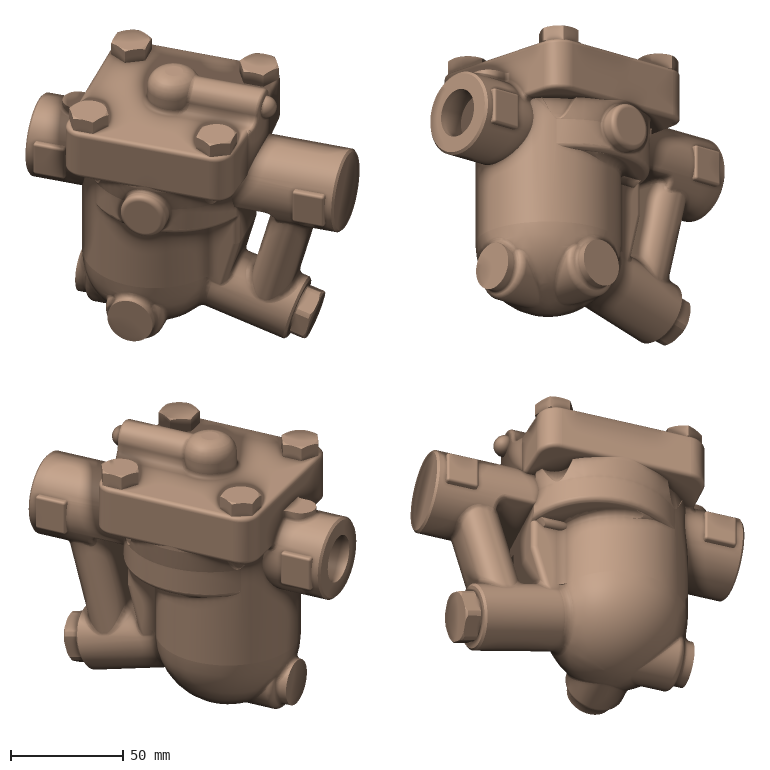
import cadquery as cq
import math


pipe_dia = 38.0
overall_length = 145.0
inlet_x = -63.8
outlet_x = inlet_x + overall_length
pipe_root_x = 12.0
pipe_chamfer = 1.0
bore_dia = 21.8
bore_depth = 12.0
wrench_pad_size = (15.0, 40.0, 16.2)
wrench_pad_offset = 11.6
wrench_pad_fillet = 1.2
inlet_boss_dia = 13.6
inlet_boss_x = -45.2
inlet_boss_fillet = 1.5
inlet_flange_fillet = 1.7

overall_width = 85.0
flange_half = 40.0
flange_corner_x = 38.3
flange_bulge_half_width = 15.0
flange_corner_radius = 9.0
flange_bulge_radius = 42.9
flange_bottom_z = 8.45
flange_split_z = 22.1
cover_top_z = 32.0
flange_fillet = 2.0

dome_top_z = 47.08
dome_radius = 12.0
dome_fillet = 8.0
dome_foot_fillet = 2.0
dome_passage_fillet = 2.0
passage_z = 37.0
passage_radius = 8.0
passage_end_fillet = 1.5
pin_dia = 10.0
pin_x = flange_bulge_radius + 0.2

bolt_pitch_half = 30.0
bolt_flats = 16.0
bolt_head_height = 6.6
bolt_bevel_drop = 0.6
hex_corner_ratio = 2.0 / math.sqrt(3.0)
bolts = [
    (-bolt_pitch_half, -bolt_pitch_half, 0),
    (bolt_pitch_half, -bolt_pitch_half, 30),
    (-bolt_pitch_half, bolt_pitch_half, 30),
    (bolt_pitch_half, bolt_pitch_half, 0),
]
scallop_top_radius = 8.2
scallop_tip_radius = 3.8

neck_radius = 38.5
neck_flare_radius = 40.0
neck_flare_z = -1.4
neck_bottom_z = -15.0
neck_fillet = 2.6
neck_root_z = -18.0
neck_plug_dia = 21.2
neck_plug_z = -3.0
neck_plug_end_y = flange_half - overall_width
neck_plug_fillet = 2.2
neck_plug_root_fillet = 1.0

bowl_x = -9.0
bowl_radius = 32.5
bowl_center_z = -49.5

plug_dia = 21.2
plug_root_fillet = 2.4
plug_boss_dia = 27.6
plug_boss_step = 5.0
plug_boss_fillet = 3.1
plug_boss_root_fillet = 1.5
boss_root_reach = 28.0
side_plug_z = -67.2
side_plug_reach = 33.9
front_plug_z = -66.6
front_plug_reach = 35.1
plugs = [
    ((bowl_x, 0, side_plug_z), (-1, 0, 0), side_plug_reach),
    ((bowl_x, 0, front_plug_z), (0, -1, 0), front_plug_reach),
]

strainer_angle = 15.0
strainer_dia = 30.0
strainer_length = 70.0
strainer_chamfer = 1.0
strainer_root_fillet = 4.0
cap_neck_dia = 22.0
cap_neck_length = 0.8
cap_flats = 22.0
cap_length = 7.2
cap_round_dia = 24.2
cap_chamfer = 0.8
cos_a = math.cos(math.radians(strainer_angle))
sin_a = math.sin(math.radians(strainer_angle))

leg_station = 55.0
leg_width = 18.5
leg_depth = 27.0
leg_corner_radius = 8.3
leg_length = 60.0
leg_fillet = 3.0
leg_pipe_fillet = 2.0
leg_foot_x = bowl_x + leg_station * cos_a
leg_foot_z = bowl_center_z - leg_station * sin_a

rib_face_x = 34.9
rib_half_width = 14.0
rib_knee_z = -30.0
rib_slope_length = 30.0
rib_edge_fillet = 2.7
rib_root_fillet = 5.0
rib_foot_fillet = 2.0

relief_top_z = -8.2
relief_corner_radius = 3.5
relief_rim_fillet = 2.0
relief_to_leg_axis = 6.6

pick_gap = 0.1
pick_margin = 0.5


def rod(start, direction, dia, length):
    """Round bar from a start point along a direction."""
    return cq.Workplane(cq.Solid.makeCylinder(dia / 2, length, cq.Vector(*start), cq.Vector(*direction)))


def box_edges(part, low, high):
    """Edges of the part whose middles lie in a box."""
    return part.edges(cq.selectors.BoxSelector(low, high))


def strainer_frame(station):
    """Workplane square to the strainer branch, at a distance from the bowl sphere centre."""
    origin = (bowl_x + station * cos_a, 0, bowl_center_z - station * sin_a)
    return cq.Workplane(cq.Plane(origin=origin, xDir=(sin_a, 0, cos_a), normal=(cos_a, 0, -sin_a)))


def make_pipe(end_x, direction):
    """One pipe stub running outward from inside the body, with wrench pads near its end."""
    root_x = direction * pipe_root_x
    pipe = rod((root_x, 0, 0), (direction, 0, 0), pipe_dia, abs(end_x - root_x))
    pipe = pipe.faces(">X" if direction > 0 else "<X").chamfer(pipe_chamfer)
    pads = cq.Workplane().box(*wrench_pad_size).edges().fillet(wrench_pad_fillet)
    return pipe.union(pads.translate((end_x - direction * wrench_pad_offset, 0, 0)))


def make_inlet():
    """Inlet pipe with a flat-topped boss running into the flange."""
    boss_length = -inlet_boss_x - pipe_root_x
    boss = (
        cq.Workplane()
        .center(inlet_boss_x + boss_length / 2, 0)
        .slot2D(boss_length + inlet_boss_dia, inlet_boss_dia)
        .extrude(flange_split_z)
    )
    inlet = make_pipe(inlet_x, -1).union(boss)
    foot_low = (inlet_x, -inlet_boss_dia, pipe_dia / 4)
    foot_high = (0, inlet_boss_dia, pipe_dia / 2 + pick_margin)
    return box_edges(inlet, foot_low, foot_high).fillet(inlet_boss_fillet)


def leg_axis_x(z):
    """X of the leg axis at a height."""
    return leg_foot_x + (z - leg_foot_z) * sin_a / cos_a


def make_leg():
    """Rounded bar rising square from the strainer branch into the outlet pipe."""
    foot = (leg_foot_x, 0, leg_foot_z)
    frame = cq.Plane(origin=foot, xDir=(cos_a, 0, -sin_a), normal=(sin_a, 0, cos_a))
    leg = cq.Workplane(frame).rect(leg_width, leg_depth).extrude(leg_length)
    return leg.edges(cq.selectors.ParallelDirSelector(frame.zDir)).fillet(leg_corner_radius)


def make_outlet():
    """Outlet pipe with its underside relieved between the rib and the leg, joined to the leg."""
    low_z = -pipe_dia
    rim_x = leg_axis_x(relief_top_z) - relief_to_leg_axis
    relief = (
        cq.Workplane("XZ")
        .moveTo(0, low_z)
        .lineTo(0, relief_top_z)
        .lineTo(rim_x, relief_top_z)
        .lineTo(leg_axis_x(low_z) - relief_to_leg_axis, low_z)
        .close()
        .extrude(pipe_dia, both=True)
        .edges("|Y and >Z and >X")
        .fillet(relief_corner_radius)
    )
    pipe = make_pipe(outlet_x, 1).cut(relief)
    rim_low = (0, -pipe_dia, relief_top_z - pick_gap)
    rim_high = (rim_x, pipe_dia, relief_top_z + pick_gap)
    pipe = box_edges(pipe, rim_low, rim_high).fillet(relief_rim_fillet)
    joined = pipe.union(make_leg())
    outer_low = (leg_axis_x(-pipe_dia / 2), -leg_depth, -pipe_dia)
    outer_high = (outlet_x - wrench_pad_size[0], leg_depth, relief_top_z)
    return box_edges(joined, outer_low, outer_high).fillet(leg_pipe_fillet)


def make_flange():
    """Body flange and cover: a rounded square that bulges towards the outlet."""
    outline = [
        (-flange_half, -flange_half),
        (flange_corner_x, -flange_half),
        (flange_half, -flange_bulge_half_width),
        (flange_half, flange_bulge_half_width),
        (flange_corner_x, flange_half),
        (-flange_half, flange_half),
    ]
    height = cover_top_z - flange_bottom_z
    square = cq.Workplane().polyline(outline).close().extrude(height)
    square = square.edges("|Z").edges("<Y or >Y").fillet(flange_corner_radius)
    bulge = cq.Workplane().circle(flange_bulge_radius).extrude(height)
    bulge_limit = cq.Workplane().box(
        flange_bulge_radius, 2 * flange_bulge_half_width, height, centered=(False, True, False)
    )
    flange = square.union(bulge.intersect(bulge_limit))
    flange = flange.faces("<Z or >Z").edges().fillet(flange_fillet)
    return flange.translate((0, 0, flange_bottom_z))


def make_cover_dome():
    """Dome on the cover with a filleted side passage and a rounded pin at its end."""
    dome = cq.Workplane().circle(dome_radius).extrude(dome_top_z).faces(">Z").edges().fillet(dome_fillet)
    foot = (
        cq.Workplane("XZ")
        .moveTo(0, cover_top_z)
        .lineTo(dome_radius + dome_foot_fillet, cover_top_z)
        .radiusArc((dome_radius, cover_top_z + dome_foot_fillet), dome_foot_fillet)
        .lineTo(0, cover_top_z + dome_foot_fillet)
        .close()
        .revolve(360, (0, 0, 0), (0, 1, 0))
    )
    foot_radius = passage_z - cover_top_z
    passage = (
        cq.Workplane("YZ")
        .moveTo(-passage_radius - foot_radius, cover_top_z)
        .radiusArc((-passage_radius, passage_z), -foot_radius)
        .threePointArc((0, passage_z + passage_radius), (passage_radius, passage_z))
        .radiusArc((passage_radius + foot_radius, cover_top_z), -foot_radius)
        .lineTo(passage_radius + foot_radius, flange_split_z)
        .lineTo(-passage_radius - foot_radius, flange_split_z)
        .close()
        .extrude(2 * flange_half)
    )
    end_limit = cq.Workplane().circle(flange_bulge_radius).extrude(dome_top_z)
    passage = passage.intersect(end_limit)
    end_low = (flange_half, -passage_radius, passage_z + 1)
    end_high = (dome_top_z, passage_radius, dome_top_z)
    passage = box_edges(passage, end_low, end_high).fillet(passage_end_fillet)
    pin = cq.Workplane().sphere(pin_dia / 2).translate((pin_x, 0, passage_z))
    dome = dome.union(foot).union(passage)
    seam_low = (0, -dome_radius, passage_z)
    seam_high = (dome_radius + 1, dome_radius, dome_top_z - pick_gap)
    return box_edges(dome, seam_low, seam_high).fillet(dome_passage_fillet).union(pin)


def make_bolt_head(x, y, turn):
    """Hexagon bolt head with its top corners bevelled, turned about its own axis."""
    corner_dia = bolt_flats * hex_corner_ratio
    overhang = (corner_dia - bolt_flats) / 2
    head = cq.Workplane().polygon(6, corner_dia).extrude(bolt_head_height)
    bevel = (
        cq.Workplane()
        .circle(corner_dia / 2)
        .extrude(bolt_head_height)
        .faces(">Z")
        .chamfer(bolt_bevel_drop, overhang)
    )
    return head.intersect(bevel).rotate((0, 0, 0), (0, 0, 1), turn).translate((x, y, cover_top_z))


def make_neck():
    """Flared ring under the flange, cut flush with the rib face."""
    neck = (
        cq.Workplane("XZ")
        .moveTo(0, neck_bottom_z)
        .lineTo(neck_radius - neck_fillet, neck_bottom_z)
        .radiusArc((neck_radius, neck_bottom_z + neck_fillet), -neck_fillet)
        .lineTo(neck_radius, neck_flare_z)
        .lineTo(neck_flare_radius, flange_bottom_z)
        .lineTo(neck_flare_radius, flange_bottom_z + flange_fillet)
        .lineTo(0, flange_bottom_z + flange_fillet)
        .close()
        .revolve(360, (0, 0, 0), (0, 1, 0))
    )
    limit = cq.Workplane().box(2 * flange_half, 4 * flange_half, 2 * flange_half)
    return neck.intersect(limit.translate((rib_face_x - flange_half, 0, 0)))


def make_scallop(x, y):
    """Tapered clearance below one bolt, narrowing downwards."""
    depth = flange_bottom_z - neck_flare_z
    scallop = cq.Solid.makeCone(scallop_tip_radius, scallop_top_radius, depth)
    return cq.Workplane(scallop).translate((x, y, neck_flare_z))


def make_upper_body():
    """Neck ring, flange and cover, with a plug on the -Y side and the inlet on the -X side."""
    upper = make_neck()
    for x, y, _ in bolts:
        upper = upper.cut(make_scallop(x, y))
    plug = rod((0, 0, neck_plug_z), (0, -1, 0), neck_plug_dia, -neck_plug_end_y)
    plug = plug.faces("<Y").edges().fillet(neck_plug_fillet)
    upper = upper.union(plug).union(make_flange())
    root_low = (-neck_plug_dia / 2 - 1, neck_plug_end_y + neck_plug_fillet + pick_margin, neck_bottom_z)
    root_high = (neck_plug_dia / 2 + 1, -neck_radius + neck_fillet, flange_bottom_z - pick_gap)
    upper = box_edges(upper, root_low, root_high).fillet(neck_plug_root_fillet)
    upper = upper.union(make_inlet())
    inlet_low = (-flange_half - pick_gap, -pipe_dia / 2, flange_bottom_z)
    inlet_high = (-flange_half + pick_gap, pipe_dia / 2, flange_split_z - pick_gap)
    return box_edges(upper, inlet_low, inlet_high).fillet(inlet_flange_fillet)


def make_bowl():
    """Cylindrical bowl closed by a hemisphere."""
    return (
        cq.Workplane("XZ")
        .moveTo(0, bowl_center_z - bowl_radius)
        .radiusArc((bowl_radius, bowl_center_z), -bowl_radius)
        .lineTo(bowl_radius, flange_bottom_z)
        .lineTo(0, flange_bottom_z)
        .close()
        .revolve(360, (0, 0, 0), (0, 1, 0))
        .translate((bowl_x, 0, 0))
    )


def make_rib():
    """Rib between bowl and strainer branch, with rounded outer edges and filleted roots."""
    slope_end = (rib_face_x - rib_slope_length * sin_a, rib_knee_z - rib_slope_length * cos_a)
    blade = (
        cq.Workplane("XZ")
        .moveTo(bowl_x, 0)
        .lineTo(rib_face_x, 0)
        .lineTo(rib_face_x, rib_knee_z)
        .lineTo(*slope_end)
        .lineTo(bowl_x, bowl_center_z)
        .close()
        .extrude(rib_half_width, both=True)
    )
    outer_low = (slope_end[0], -2 * rib_half_width, rib_knee_z - rib_slope_length)
    outer_high = (rib_face_x + 1, 2 * rib_half_width, 0)
    blade = box_edges(blade.edges("#Y"), outer_low, outer_high).fillet(rib_edge_fillet)
    center_y = rib_half_width + rib_root_fillet
    center_x = math.sqrt((bowl_radius + rib_root_fillet) ** 2 - center_y**2)
    share = bowl_radius / (bowl_radius + rib_root_fillet)
    tangent = (center_x * share, center_y * share)
    root = (
        cq.Workplane()
        .moveTo(0, -tangent[1])
        .lineTo(tangent[0], -tangent[1])
        .radiusArc((center_x, -rib_half_width), rib_root_fillet)
        .lineTo(center_x, rib_half_width)
        .radiusArc(tangent, rib_root_fillet)
        .lineTo(0, tangent[1])
        .close()
        .extrude(-bowl_center_z)
        .translate((bowl_x, 0, bowl_center_z))
    )
    return blade.union(root)


def make_plug(start, direction, reach):
    """Plain round plug."""
    return rod(start, direction, plug_dia, reach)


def make_plug_boss(start, direction, reach):
    """Wider boss around a plug, rounded down to it near its end."""
    boss = rod(start, direction, plug_boss_dia, reach - plug_boss_step)
    end = cq.selectors.DirectionMinMaxSelector(cq.Vector(*direction))
    return boss.faces(end).edges().fillet(plug_boss_fillet)


def root_selector(start, direction, reach):
    """Picks the edges round a plug axis, from the bowl axis out to a reach along it."""
    outer = [s + d * reach for s, d in zip(start, direction)]
    low = [min(s, o) - plug_dia * (1 - abs(d)) for s, o, d in zip(start, outer, direction)]
    high = [max(s, o) + plug_dia * (1 - abs(d)) for s, o, d in zip(start, outer, direction)]
    return cq.selectors.BoxSelector(low, high)


def make_strainer():
    """Sloping strainer branch with the leg up to the outlet pipe."""
    rough_length = strainer_length + strainer_dia
    branch = strainer_frame(0).circle(strainer_dia / 2).extrude(rough_length).union(make_leg())
    foot_low = (rib_face_x, -leg_depth, bowl_center_z - strainer_dia)
    foot_high = (outlet_x, leg_depth, bowl_center_z + 2)
    branch = box_edges(branch, foot_low, foot_high).fillet(leg_fillet)
    trim = strainer_frame(strainer_length).rect(4 * strainer_dia, 4 * strainer_dia).extrude(rough_length)
    branch = branch.cut(trim)
    end = strainer_frame(strainer_length).val()
    margin = cq.Vector(pick_margin, pick_margin, pick_margin)
    rim = box_edges(branch, (end - margin).toTuple(), (end + margin).toTuple())
    return rim.chamfer(strainer_chamfer)


def make_cap():
    """Hexagon cap with rounded corners on a short round neck, closing the strainer branch."""
    neck = strainer_frame(strainer_length).circle(cap_neck_dia / 2).extrude(cap_neck_length)
    frame = strainer_frame(strainer_length + cap_neck_length)
    cap = frame.polygon(6, cap_flats * hex_corner_ratio).extrude(cap_length)
    cap_round = frame.circle(cap_round_dia / 2).extrude(cap_length)
    return neck.union(cap.intersect(cap_round.faces(">X").edges().chamfer(cap_chamfer)))


def make_neck_root():
    """Concave fillet where the bowl and rib run up into the underside of the neck ring."""
    span = neck_bottom_z - neck_root_z
    root = (
        cq.Workplane("XZ")
        .moveTo(0, neck_root_z)
        .lineTo(bowl_radius, neck_root_z)
        .radiusArc((bowl_radius + span, neck_bottom_z), span)
        .lineTo(0, neck_bottom_z)
        .close()
        .revolve(360, (0, 0, 0), (0, 1, 0))
        .translate((bowl_x, 0, 0))
    )
    rib_root = (
        cq.Workplane("YZ")
        .moveTo(-rib_half_width - span, neck_bottom_z)
        .radiusArc((-rib_half_width, neck_root_z), -span)
        .lineTo(rib_half_width, neck_root_z)
        .radiusArc((rib_half_width + span, neck_bottom_z), -span)
        .close()
        .extrude(rib_face_x)
    )
    rim = neck_radius - neck_fillet
    limit = cq.Workplane(cq.Solid.makeCone(rim - span, rim, span)).translate((0, 0, neck_root_z))
    return root.union(rib_root).intersect(limit)


def make_lower_body():
    """Bowl with its plugs, strainer branch and rib."""
    body = make_bowl().union(make_strainer())
    branch_low = (0, -strainer_dia, bowl_center_z - bowl_radius)
    branch_high = (rib_face_x, strainer_dia, bowl_center_z + strainer_dia)
    body = box_edges(body, branch_low, branch_high).fillet(strainer_root_fillet)
    for start, direction, reach in plugs:
        body = body.union(make_plug(start, direction, reach))
        body = body.edges(root_selector(start, direction, reach - pick_margin)).fillet(plug_root_fillet)
    for start, direction, reach in plugs:
        body = body.union(make_plug_boss(start, direction, reach))
        body = body.edges(root_selector(start, direction, boss_root_reach)).fillet(plug_boss_root_fillet)
    body = body.union(make_rib())
    rib_low = (bowl_radius + bowl_x - pick_margin, -strainer_dia / 2, bowl_center_z - strainer_dia / 4)
    rib_high = (rib_face_x, strainer_dia / 2, bowl_center_z - 1)
    return box_edges(body, rib_low, rib_high).fillet(rib_foot_fillet)


def build():
    """The whole trap as one solid, with the inlet bore cut last."""
    body = make_lower_body().union(make_upper_body()).union(make_neck_root())
    body = body.union(make_outlet()).union(make_cover_dome()).union(make_cap())
    for x, y, turn in bolts:
        body = body.union(make_bolt_head(x, y, turn))
    bore = rod((inlet_x, 0, 0), (1, 0, 0), bore_dia, bore_depth)
    return body.cut(bore)


result = build()